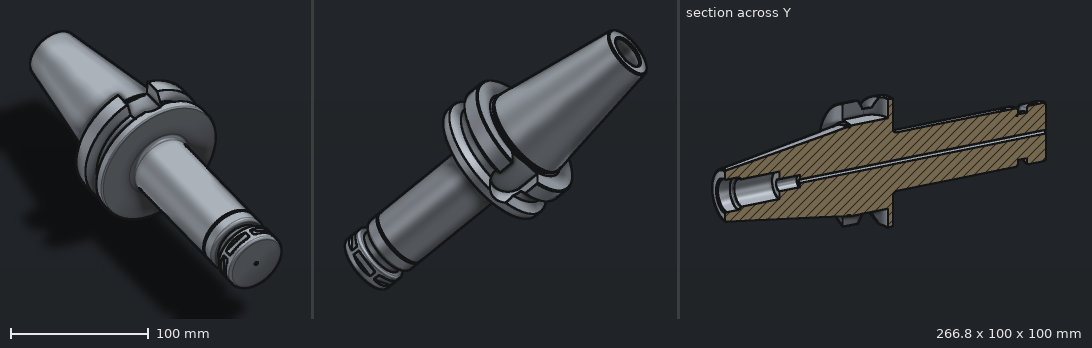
import cadquery as cq
import math

GAUGE_DIAMETER = 69.85
TAPER_RATIO = 7 / 24
TAPER_LENGTH = 101.8
TAPER_TIP_CHAMFER = 0.8
TAPER_END = -0.3
RELIEF_START = 0.5
RELIEF_RADIUS = 34.3
RELIEF_FLARE_LENGTH = 0.8
RELIEF_FLARE_HEIGHT = 1.9

FLANGE_RADIUS = 50.0
FRONT_RIM_RADIUS = 49.6
FLANGE_FRONT = 3.0
FLANGE_BACK = 38.0
FRONT_RIM_CHAMFER = 0.7
BACK_RIM_FILLET = 1.2
GROOVE_FLOOR_RADIUS = 42.5
GROOVE_CENTER = 23.2
GROOVE_FLOOR_WIDTH = 6.5
GROOVE_FLANK_ANGLE = 30.0

SLOT_WIDTH = 25.7
SLOT_FLOOR_HEIGHT = 35.4
SLOT_END = 33.4

BODY_RADIUS = 23.0
BODY_END = 142.0
BODY_ROOT_FILLET = 3.0
BODY_END_FILLET = 2.5
NECK_RADIUS = 18.0
MARK_GROOVE_START = 129.9
MARK_GROOVE_END = 131.4
MARK_GROOVE_DEPTH = 0.1

NUT_RADIUS = 23.0
NUT_START = 149.0
NUT_END = 165.0
NUT_BACK_FILLET = 1.8
NUT_FRONT_FILLET = 2.0
WRENCH_FLAT_COUNT = 6
WRENCH_FLAT_HEIGHT = 20.8
WRENCH_FLAT_START = 152.8
WRENCH_FLAT_END = 159.5
WRENCH_FLAT_SLOPE = 0.8

PILOT_BORE_DIAMETER = 25.0
PILOT_BORE_DEPTH = 11.0
PILOT_CHAMFER_DEPTH = 0.7
PILOT_CHAMFER_LENGTH = 1.2
THREAD_BORE_DIAMETER = 21.0
THREAD_BORE_DEPTH = 45.0
ENTRY_CONE_LENGTH = 1.6
ENTRY_CONE_END_DIAMETER = 23.0
THREAD_CHAMFER_LENGTH = 1.0
INNER_BORE_DIAMETER = 9.0
INNER_BORE_DEPTH = 62.0
COOLANT_HOLE_DIAMETER = 2.5

TAPER_START = -TAPER_LENGTH


def taper_radius(x):
    """Radius of the 7/24 taper at axial position x."""
    return (GAUGE_DIAMETER + TAPER_RATIO * x) / 2


def add_quarter_arc(outline, center, radius, start_angle, end_angle):
    """Run a line to the start of an arc about center and continue along the arc; angles in degrees."""
    start, middle, end = (
        (center[0] + radius * math.cos(angle), center[1] + radius * math.sin(angle))
        for angle in map(math.radians, (start_angle, (start_angle + end_angle) / 2, end_angle))
    )
    return outline.lineTo(*start).threePointArc(middle, end)


def make_outer_body():
    """Revolve the outline of the taper, flange, body, neck and nut."""
    flank_slope = math.tan(math.radians(GROOVE_FLANK_ANGLE))
    front_flank_length = (FRONT_RIM_RADIUS - GROOVE_FLOOR_RADIUS) * flank_slope
    back_flank_length = (FLANGE_RADIUS - GROOVE_FLOOR_RADIUS) * flank_slope
    mark_radius = BODY_RADIUS - MARK_GROOVE_DEPTH
    floor_start = GROOVE_CENTER - GROOVE_FLOOR_WIDTH / 2
    floor_end = GROOVE_CENTER + GROOVE_FLOOR_WIDTH / 2

    outline = (
        cq.Workplane("XY")
        .moveTo(TAPER_START, 0)
        .lineTo(TAPER_START, taper_radius(TAPER_START) - TAPER_TIP_CHAMFER)
        .lineTo(TAPER_START + TAPER_TIP_CHAMFER, taper_radius(TAPER_START + TAPER_TIP_CHAMFER))
        .lineTo(TAPER_END, taper_radius(TAPER_END))
        .lineTo(RELIEF_START, RELIEF_RADIUS)
        .lineTo(FLANGE_FRONT - RELIEF_FLARE_LENGTH, RELIEF_RADIUS)
        .lineTo(FLANGE_FRONT, RELIEF_RADIUS + RELIEF_FLARE_HEIGHT)
        .lineTo(FLANGE_FRONT, FRONT_RIM_RADIUS - FRONT_RIM_CHAMFER)
        .lineTo(FLANGE_FRONT + FRONT_RIM_CHAMFER, FRONT_RIM_RADIUS)
        .lineTo(floor_start - front_flank_length, FRONT_RIM_RADIUS)
        .lineTo(floor_start, GROOVE_FLOOR_RADIUS)
        .lineTo(floor_end, GROOVE_FLOOR_RADIUS)
        .lineTo(floor_end + back_flank_length, FLANGE_RADIUS)
    )
    back_rim_center = (FLANGE_BACK - BACK_RIM_FILLET, FLANGE_RADIUS - BACK_RIM_FILLET)
    outline = add_quarter_arc(outline, back_rim_center, BACK_RIM_FILLET, 90, 0)
    body_root_center = (FLANGE_BACK + BODY_ROOT_FILLET, BODY_RADIUS + BODY_ROOT_FILLET)
    outline = add_quarter_arc(outline, body_root_center, BODY_ROOT_FILLET, 180, 270)
    outline = (
        outline
        .lineTo(MARK_GROOVE_START, BODY_RADIUS)
        .lineTo(MARK_GROOVE_START, mark_radius)
        .lineTo(MARK_GROOVE_END, mark_radius)
        .lineTo(MARK_GROOVE_END, BODY_RADIUS)
    )
    body_end_center = (BODY_END - BODY_END_FILLET, BODY_RADIUS - BODY_END_FILLET)
    outline = add_quarter_arc(outline, body_end_center, BODY_END_FILLET, 90, 0)
    outline = outline.lineTo(BODY_END, NECK_RADIUS).lineTo(NUT_START, NECK_RADIUS)
    nut_back_center = (NUT_START + NUT_BACK_FILLET, NUT_RADIUS - NUT_BACK_FILLET)
    outline = add_quarter_arc(outline, nut_back_center, NUT_BACK_FILLET, 180, 90)
    nut_front_center = (NUT_END - NUT_FRONT_FILLET, NUT_RADIUS - NUT_FRONT_FILLET)
    outline = add_quarter_arc(outline, nut_front_center, NUT_FRONT_FILLET, 90, 0)
    return outline.lineTo(NUT_END, 0).close().revolve(360, (0, 0, 0), (1, 0, 0))


def make_bores():
    """Stepped bore of the taper end and the coolant hole along the whole axis."""
    pilot_end = TAPER_START + PILOT_BORE_DEPTH
    entry_end = pilot_end + ENTRY_CONE_LENGTH
    thread_end = TAPER_START + THREAD_BORE_DEPTH
    inner_end = TAPER_START + INNER_BORE_DEPTH
    return (
        cq.Workplane("XY")
        .moveTo(TAPER_START, 0)
        .lineTo(TAPER_START, PILOT_BORE_DIAMETER / 2 + PILOT_CHAMFER_DEPTH)
        .lineTo(TAPER_START + PILOT_CHAMFER_LENGTH, PILOT_BORE_DIAMETER / 2)
        .lineTo(pilot_end, PILOT_BORE_DIAMETER / 2)
        .lineTo(entry_end, ENTRY_CONE_END_DIAMETER / 2)
        .lineTo(entry_end + THREAD_CHAMFER_LENGTH, THREAD_BORE_DIAMETER / 2)
        .lineTo(thread_end, THREAD_BORE_DIAMETER / 2)
        .lineTo(thread_end, INNER_BORE_DIAMETER / 2)
        .lineTo(inner_end, INNER_BORE_DIAMETER / 2)
        .lineTo(inner_end, COOLANT_HOLE_DIAMETER / 2)
        .lineTo(NUT_END, COOLANT_HOLE_DIAMETER / 2)
        .lineTo(NUT_END, 0)
        .close()
        .revolve(360, (0, 0, 0), (1, 0, 0))
    )


def make_drive_slot():
    """Round-ended slot above the +Z side of the flange, open toward the taper."""
    end_center = SLOT_END - SLOT_WIDTH / 2
    return (
        cq.Workplane("XY")
        .workplane(offset=SLOT_FLOOR_HEIGHT)
        .moveTo(0, -SLOT_WIDTH / 2)
        .lineTo(end_center, -SLOT_WIDTH / 2)
        .threePointArc((SLOT_END, 0), (end_center, SLOT_WIDTH / 2))
        .lineTo(0, SLOT_WIDTH / 2)
        .close()
        .extrude(FLANGE_RADIUS - SLOT_FLOOR_HEIGHT)
    )


def make_wrench_flat():
    """Prism with sloped ends that mills one flat into the -Y side of the nut."""
    return (
        cq.Workplane("XY")
        .moveTo(WRENCH_FLAT_START, -NUT_RADIUS)
        .lineTo(WRENCH_FLAT_START + WRENCH_FLAT_SLOPE, -WRENCH_FLAT_HEIGHT)
        .lineTo(WRENCH_FLAT_END - WRENCH_FLAT_SLOPE, -WRENCH_FLAT_HEIGHT)
        .lineTo(WRENCH_FLAT_END, -NUT_RADIUS)
        .close()
        .extrude(NUT_RADIUS, both=True)
    )


def rotated(shape, angle):
    """Copy of the shape turned about the X axis."""
    return shape.rotate((0, 0, 0), (1, 0, 0), angle)


result = make_outer_body().cut(make_bores())

for slot_angle in (0, 180):
    result = result.cut(rotated(make_drive_slot(), slot_angle))

for index in range(WRENCH_FLAT_COUNT):
    result = result.cut(rotated(make_wrench_flat(), index * 360 / WRENCH_FLAT_COUNT))